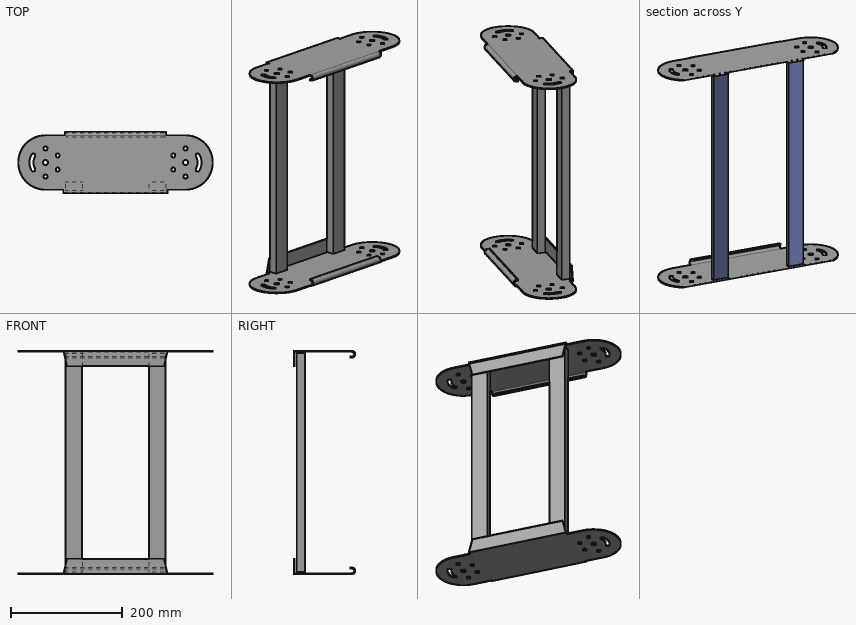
import cadquery as cq
import math

frame_height = 399.0
sheet = 2.0

plate_length = 348.0
plate_width = 97.8
plate_radius = plate_width / 2
end_center_x = plate_length / 2 - plate_radius

center_hole_diameter = 8.8
small_hole_diameter = 6.8
hole_circle_radius = 25.0
small_hole_angles = (-90, -30, 30, 90)
slot_width = 6.8
slot_half_angle = 30.0

flange_front_y = -55.0
flange_height = 27.0
flange_root_half_width = 93.5
flange_tip_half_width = 86.5

hook_back_y = 55.0
hook_radius = 6.0
hook_lip = 3.0
hook_root_half_width = 91.0
hook_tip_half_width = 87.8
hook_axis_y = hook_back_y - hook_radius

bar_width = 30.0
bar_depth = 15.0
bar_outer_x = 89.8
bar_front_y = -50.0
bar_end_gap = 2.0
bar_length = frame_height - 2 * (sheet + bar_end_gap)


def tapered_sheet(side_profile, root_half_width, tip_half_width, height):
    """Limit a YZ profile, extruded along X, to a trapezoid that narrows away from the plate."""
    top = frame_height / 2
    trapezoid = (
        cq.Workplane("XZ")
        .polyline([
            (-root_half_width, top),
            (root_half_width, top),
            (tip_half_width, top - height),
            (-tip_half_width, top - height),
        ])
        .close()
        .extrude(plate_length / 2, both=True)
    )
    return side_profile.extrude(root_half_width, both=True).intersect(trapezoid)


def make_flange():
    """Front strip of the plate and the flange hanging from it."""
    top = frame_height / 2
    profile = (
        cq.Workplane("YZ")
        .moveTo(0, top)
        .lineTo(flange_front_y, top)
        .lineTo(flange_front_y, top - flange_height)
        .lineTo(flange_front_y + sheet, top - flange_height)
        .lineTo(flange_front_y + sheet, top - sheet)
        .lineTo(0, top - sheet)
        .close()
    )
    return tapered_sheet(profile, flange_root_half_width, flange_tip_half_width, flange_height)


def make_hook():
    """Back strip of the plate, curled under into a half-round hook."""
    top = frame_height / 2
    axis_z = top - hook_radius
    bottom = top - 2 * hook_radius
    lip_end_y = hook_axis_y - hook_lip
    profile = (
        cq.Workplane("YZ")
        .moveTo(0, top)
        .lineTo(hook_axis_y, top)
        .threePointArc((hook_back_y, axis_z), (hook_axis_y, bottom))
        .lineTo(lip_end_y, bottom)
        .lineTo(lip_end_y, bottom + sheet)
        .lineTo(hook_axis_y, bottom + sheet)
        .threePointArc((hook_back_y - sheet, axis_z), (hook_axis_y, top - sheet))
        .lineTo(0, top - sheet)
        .close()
    )
    return tapered_sheet(profile, hook_root_half_width, hook_tip_half_width, 2 * hook_radius)


def polar(radius, angle):
    """Point at an angle in degrees about the centre of the +X rounded end; 180 faces the middle."""
    turn = math.radians(angle)
    return (end_center_x + radius * math.cos(turn), radius * math.sin(turn))


def make_end_cutter():
    """Holes and curved slot of the +X rounded end."""
    bottom = cq.Workplane("XY").workplane(offset=frame_height / 2 - sheet)
    center_hole = bottom.center(end_center_x, 0).circle(center_hole_diameter / 2).extrude(sheet)
    small_holes = (
        bottom.pushPoints([polar(hole_circle_radius, 180 + angle) for angle in small_hole_angles])
        .circle(small_hole_diameter / 2)
        .extrude(sheet)
    )
    outer = hole_circle_radius + slot_width / 2
    inner = hole_circle_radius - slot_width / 2
    slot = (
        bottom.moveTo(*polar(outer, -slot_half_angle))
        .threePointArc(polar(outer, 0), polar(outer, slot_half_angle))
        .tangentArcPoint(polar(inner, slot_half_angle), relative=False)
        .threePointArc(polar(inner, 0), polar(inner, -slot_half_angle))
        .tangentArcPoint(polar(outer, -slot_half_angle), relative=False)
        .close()
        .extrude(sheet)
    )
    return center_hole.union(small_holes).union(slot)


def make_top_plate():
    blank = (
        cq.Workplane("XY")
        .workplane(offset=frame_height / 2 - sheet)
        .slot2D(plate_length, 2 * plate_radius)
        .extrude(sheet)
    )
    end_cutter = make_end_cutter()
    plate = blank.union(make_flange()).union(make_hook())
    return plate.cut(end_cutter).cut(end_cutter.mirror("YZ"))


def make_bar(side):
    """Upright bar on the given side of the frame (-1 or 1)."""
    return cq.Workplane("XY").box(bar_width, bar_depth, bar_length).translate(
        (side * (bar_outer_x - bar_width / 2), bar_front_y + bar_depth / 2, 0)
    )


top_plate = make_top_plate()
plates = [top_plate, top_plate.mirror("XY")]
bars = [make_bar(side) for side in (-1, 1)]

result = cq.Compound.makeCompound([body.val() for body in plates + bars])